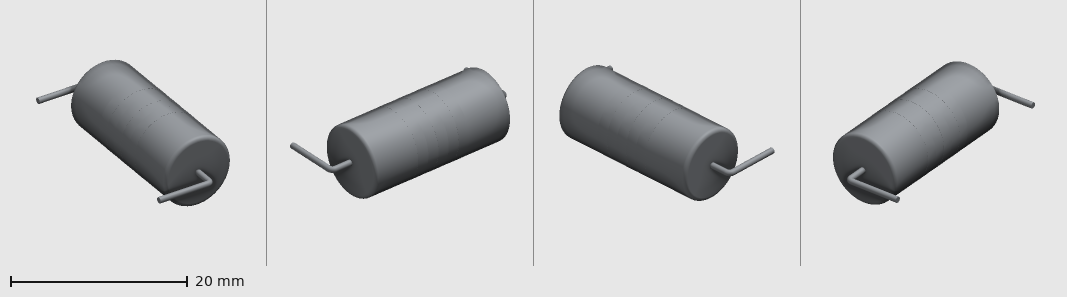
import cadquery as cq

overall_length = 26.15
body_length = 20.0
body_diameter = 9.0
edge_radius = 0.5
band_diameter = 9.02
band_width = 1.5
band_pitch = 2 * band_width
band_count = 3
lead_diameter = 0.75
lead_bend_radius = 0.5
lead_reach = 7.0

lead_x = (overall_length - lead_diameter) / 2


def make_body():
    """Cylinder with rounded rims."""
    body = (
        cq.Workplane("YZ", origin=(-body_length / 2, 0, 0))
        .circle(body_diameter / 2)
        .extrude(body_length)
    )
    return body.edges("%CIRCLE").fillet(edge_radius)


def make_band(center_x):
    """Slightly raised colour band around the body."""
    return (
        cq.Workplane("YZ", origin=(center_x - band_width / 2, 0, 0))
        .circle(band_diameter / 2)
        .extrude(band_width)
    )


def make_right_lead():
    """Round wire leaving the body along +X and bending toward -Y."""
    bend_start_x = lead_x - lead_bend_radius
    path = (
        cq.Workplane("XY")
        .lineTo(bend_start_x, 0)
        .tangentArcPoint((lead_x, -lead_bend_radius), relative=False)
        .lineTo(lead_x, -lead_reach)
    )
    return cq.Workplane("YZ").circle(lead_diameter / 2).sweep(path)


result = make_body()
for index in range(band_count):
    band_x = (index - (band_count - 1) / 2) * band_pitch
    result = result.union(make_band(band_x))

right_lead = make_right_lead()
left_lead = right_lead.mirror("YZ")
result = result.union(right_lead).union(left_lead)